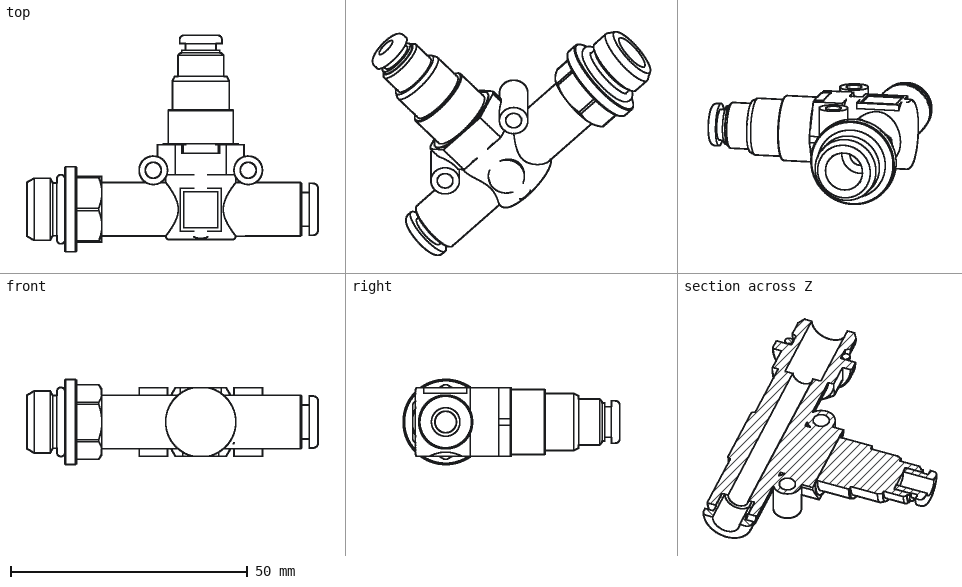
import cadquery as cq
import math


STUD_START = -36.7
STUD_TIP_DIAMETER = 11.4
STUD_TIP_LENGTH = 1.55
THREAD_DIAMETER = 13.15
THREAD_END = STUD_START + 4.9
RELIEF_TAPER = 0.55
RELIEF_DIAMETER = 11.2
FLANGE_DIAMETER = 18.0
FLANGE_START = STUD_START + 8.05
FLANGE_THICKNESS = 2.5
FLANGE_FRONT_CHAMFER = 0.2
FLANGE_BACK_CHAMFER = 0.3
HEX_LENGTH = 5.2
HEX_FLATS = 13.9
HEX_CORNER_DIAMETER = 15.75
HEX_BEVEL_LENGTH = 0.6
HEX_BEVEL_DEPTH = 0.85
STUD_BORE = 8.0

HEX_START = FLANGE_START + FLANGE_THICKNESS
STUD_END = HEX_START + HEX_LENGTH

SEAL_THICKNESS = 1.7

TUBE_DIAMETER = 11.4
TUBE_END = 21.3
TUBE_CHAMFER = 0.25
TUBE_BORE = 4.5
BODY_HEIGHT = 14.5
BARREL_DIAMETER = 14.8
BARREL_START = -6.4
BARREL_FILLET = 0.75
BLOCK_START = 7.3
BLOCK_END = 13.65
BLOCK_WIDTH = 18.3
BLOCK_SIDE_HEIGHT = 1.35
BLOCK_SLOPE = 60
SLOT_WIDTH = 8.1
SLOT_LENGTH = 1.8
SLOT_DEPTH = 0.6
PAD_WIDTH = 8.6
PAD_LENGTH = 9.1
PAD_CENTER_Y = -0.05
PANEL_WIDTH = 7.2
PANEL_LENGTH = 7.6
PANEL_DEPTH = 0.3
BOSS_DIAMETER = 7.6
LUG_DIAMETER = 6.0
LUG_HOLE = 3.3
LUG_OFFSET_X = 10.0
LUG_Y = 8.25

COLLAR_DIAMETER = 15.8
COLLAR_THICKNESS = 0.2
TAB_WIDTH = 7.3
BASE_DIAMETER = 13.8
BASE_END = 21.05
BASE_CHAMFER = 0.2
MIDDLE_DIAMETER = 12.05
MIDDLE_END = 28.05
MIDDLE_BEVEL_LENGTH = 1.0
MIDDLE_BEVEL_DEPTH = 0.5
UPPER_DIAMETER = 9.7
UPPER_END = 33.0
UPPER_CHAMFER = 0.55
RIM_DIAMETER = 8.1
CARTRIDGE_END = 33.6

TUBE_SLEEVE_NECK = 7.2
TUBE_SLEEVE_BORE = 6.0
TUBE_SLEEVE_HEAD = 11.0
BRANCH_SLEEVE_NECK = 6.5
BRANCH_SLEEVE_BORE = 4.0
BRANCH_SLEEVE_HEAD = 9.0
SLEEVE_INSERTION = 3.7
TUBE_SLEEVE_GAP = 1.6
BRANCH_SLEEVE_GAP = 1.4
TUBE_SLEEVE_HEAD_THICKNESS = 1.9
TUBE_SLEEVE_ROUNDING = 1.1
BRANCH_SLEEVE_HEAD_THICKNESS = 1.8
BRANCH_SLEEVE_ROUNDING = 1.0


def rod_x(diameter, start, end):
    """Cylinder on the X axis between two X positions."""
    return cq.Workplane("YZ", origin=(start, 0, 0)).circle(diameter / 2).extrude(end - start)


def rod_y(diameter, start, end):
    """Cylinder on the Y axis between two Y positions."""
    return cq.Workplane("XZ", origin=(0, start, 0)).circle(diameter / 2).extrude(start - end)


def make_stud():
    tip = STUD_TIP_DIAMETER / 2
    thread = THREAD_DIAMETER / 2
    relief = RELIEF_DIAMETER / 2
    shank = (
        cq.Workplane("XY")
        .moveTo(STUD_START, 0)
        .lineTo(STUD_START, tip)
        .lineTo(STUD_START + STUD_TIP_LENGTH, thread)
        .lineTo(THREAD_END, thread)
        .lineTo(THREAD_END + RELIEF_TAPER, relief)
        .lineTo(FLANGE_START, relief)
        .lineTo(FLANGE_START, 0)
        .close()
        .revolve(360, (0, 0, 0), (1, 0, 0))
    )
    flange = (
        rod_x(FLANGE_DIAMETER, FLANGE_START, HEX_START)
        .faces("<X")
        .chamfer(FLANGE_FRONT_CHAMFER)
        .faces(">X")
        .chamfer(FLANGE_BACK_CHAMFER)
    )
    return shank.union(flange).union(make_hexagon())


def make_seal_ring():
    center_x = FLANGE_START - SEAL_THICKNESS / 2
    ring_radius = (RELIEF_DIAMETER + SEAL_THICKNESS) / 2
    center = cq.Vector(center_x, 0, 0)
    ring = cq.Solid.makeTorus(ring_radius, SEAL_THICKNESS / 2, center, cq.Vector(1, 0, 0))
    return cq.Workplane(ring)


def make_hexagon():
    """Hexagon with flats facing +-Y, its corners turned down and its far end bevelled."""
    across_corners = HEX_FLATS / math.cos(math.radians(30))
    prism = (
        cq.Workplane("YZ", origin=(HEX_START, 0, 0))
        .transformed(rotate=(0, 0, 90))
        .polygon(6, across_corners)
        .extrude(HEX_LENGTH)
    )
    turned = (
        rod_x(HEX_CORNER_DIAMETER, HEX_START, STUD_END)
        .faces(">X")
        .chamfer(HEX_BEVEL_LENGTH, HEX_BEVEL_DEPTH)
    )
    return prism.intersect(turned)


def block_prism(start, end):
    """Stretched hexagonal prism along Y with flat top, bottom and sides."""
    half_height = BODY_HEIGHT / 2
    half_width = BLOCK_WIDTH / 2
    half_side = BLOCK_SIDE_HEIGHT / 2
    half_top = half_width - (half_height - half_side) / math.tan(math.radians(BLOCK_SLOPE))
    right_side = [
        (half_top, half_height),
        (half_width, half_side),
        (half_width, -half_side),
        (half_top, -half_height),
    ]
    left_side = [(-x, -z) for x, z in right_side]
    outline = cq.Workplane("XZ", origin=(0, start, 0)).polyline(right_side + left_side).close()
    return outline.extrude(start - end)


def make_barrel():
    """Branch barrel with a rounded closed end, shaved flush with the top and bottom of the block."""
    slab = cq.Workplane("XY").box(2 * BARREL_DIAMETER, 2 * BARREL_DIAMETER, BODY_HEIGHT)
    barrel = rod_y(BARREL_DIAMETER, BARREL_START, BLOCK_START).faces("<Y").edges().fillet(BARREL_FILLET)
    return barrel.intersect(slab)


def make_pads():
    """Rectangular pad on top of the barrel with a round boss underneath, and the sunken panel to cut."""
    half_height = BODY_HEIGHT / 2
    pad = cq.Workplane("XY").center(0, PAD_CENTER_Y).rect(PAD_WIDTH, PAD_LENGTH).extrude(half_height)
    panel = (
        cq.Workplane("XY", origin=(0, PAD_CENTER_Y, half_height))
        .rect(PANEL_WIDTH, PANEL_LENGTH)
        .extrude(-PANEL_DEPTH)
    )
    boss = cq.Workplane("XY").circle(BOSS_DIAMETER / 2).extrude(-half_height)
    return boss.union(pad), panel


def block_key(width):
    """Bar at the top of the block's +Y face, used for the slot and for the tab lying in it."""
    center_y = BLOCK_END - SLOT_LENGTH / 2
    top = cq.Workplane("XY", origin=(0, center_y, BODY_HEIGHT / 2))
    return top.rect(width, SLOT_LENGTH).extrude(-SLOT_DEPTH)


def make_housing():
    tube = rod_x(TUBE_DIAMETER, STUD_END, TUBE_END).faces(">X").chamfer(TUBE_CHAMFER)
    pads, panel = make_pads()
    block = block_prism(BLOCK_START, BLOCK_END).cut(block_key(SLOT_WIDTH))
    lug_points = [(-LUG_OFFSET_X, LUG_Y), (LUG_OFFSET_X, LUG_Y)]
    lug_plane = cq.Workplane("XY", origin=(0, 0, -BODY_HEIGHT / 2)).pushPoints(lug_points)
    lugs = lug_plane.circle(LUG_DIAMETER / 2).extrude(BODY_HEIGHT)
    lug_holes = lug_plane.circle(LUG_HOLE / 2).extrude(BODY_HEIGHT)

    housing = tube.union(make_stud()).union(make_barrel()).union(pads).union(block).union(lugs)
    housing = housing.cut(panel).cut(lug_holes)
    housing = housing.cut(rod_x(STUD_BORE, STUD_START, STUD_END))
    housing = housing.cut(rod_x(TUBE_BORE, STUD_END, TUBE_END))
    return housing.cut(rod_x(TUBE_SLEEVE_NECK, TUBE_END - SLEEVE_INSERTION, TUBE_END))


def make_cartridge():
    collar_end = BLOCK_END + COLLAR_THICKNESS
    collar = rod_y(COLLAR_DIAMETER, BLOCK_END, collar_end).intersect(block_prism(BLOCK_END, collar_end))
    base = rod_y(BASE_DIAMETER, BLOCK_END, BASE_END).faces(">Y").chamfer(BASE_CHAMFER)
    middle = (
        rod_y(MIDDLE_DIAMETER, BASE_END, MIDDLE_END)
        .faces(">Y")
        .chamfer(MIDDLE_BEVEL_LENGTH, MIDDLE_BEVEL_DEPTH)
    )
    upper = rod_y(UPPER_DIAMETER, MIDDLE_END, UPPER_END).faces(">Y").chamfer(UPPER_CHAMFER)
    rim = rod_y(RIM_DIAMETER, UPPER_END, CARTRIDGE_END)
    socket = rod_y(BRANCH_SLEEVE_NECK, CARTRIDGE_END - SLEEVE_INSERTION, CARTRIDGE_END)
    tab = block_key(TAB_WIDTH)
    return collar.union(tab).union(base).union(middle).union(upper).union(rim).cut(socket)


def make_sleeve(neck, bore, gap, head, head_thickness, rounding):
    """Release sleeve along +Z whose neck leaves its socket at the origin."""
    length = SLEEVE_INSERTION + gap
    body = cq.Workplane("XY", origin=(0, 0, -SLEEVE_INSERTION)).circle(neck / 2).extrude(length)
    cap = cq.Workplane("XY", origin=(0, 0, gap)).circle(head / 2).extrude(head_thickness)
    cap = cap.faces(">Z").edges().fillet(rounding)
    return body.union(cap).faces(">Z").workplane().hole(bore)


def make_tube_sleeve():
    sleeve = make_sleeve(
        TUBE_SLEEVE_NECK,
        TUBE_SLEEVE_BORE,
        TUBE_SLEEVE_GAP,
        TUBE_SLEEVE_HEAD,
        TUBE_SLEEVE_HEAD_THICKNESS,
        TUBE_SLEEVE_ROUNDING,
    )
    return sleeve.rotate((0, 0, 0), (0, 1, 0), 90).translate((TUBE_END, 0, 0))


def make_branch_sleeve():
    sleeve = make_sleeve(
        BRANCH_SLEEVE_NECK,
        BRANCH_SLEEVE_BORE,
        BRANCH_SLEEVE_GAP,
        BRANCH_SLEEVE_HEAD,
        BRANCH_SLEEVE_HEAD_THICKNESS,
        BRANCH_SLEEVE_ROUNDING,
    )
    return sleeve.rotate((0, 0, 0), (1, 0, 0), -90).translate((0, CARTRIDGE_END, 0))


housing = make_housing()
seal_ring = make_seal_ring()
cartridge = make_cartridge()
tube_sleeve = make_tube_sleeve()
branch_sleeve = make_branch_sleeve()

result = cq.Compound.makeCompound(
    [housing.val(), seal_ring.val(), cartridge.val(), tube_sleeve.val(), branch_sleeve.val()]
)